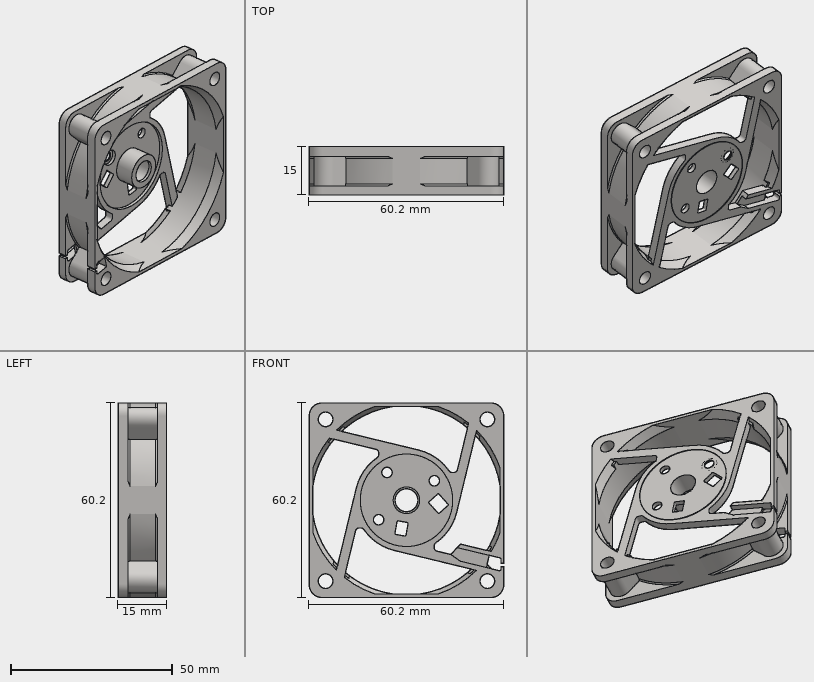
import cadquery as cq
import math


frame_size = 60.2
frame_depth = 15.0
corner_radius = 4.0
front_flange = 2.8
back_flange = 3.05
back_flange_start = frame_depth - back_flange
duct_flat_size = 57.9

throat_radius = 29.25
mouth_radius = 30.6
tube_outer_radius = 30.4
flare_depth = 3.1
outer_flare_length = 0.65
outer_flare_height = 0.25

corner_count = 4
mount_pitch = 50.0
mount_hole_diameter = 4.45
boss_radius = 3.64

hub_radius = 16.0
hub_depth = front_flange
label_radius = 14.3
label_recess = 0.2
disc_thickness = 1.5
bore_radius = 4.1
bore_lip_radius = 3.5
bore_lip_depth = 1.0
bearing_tube_radius = 5.5
bearing_tube_length = 8.0

screw_hole_diameter = 3.15
screw_hole_circle = 10.5
screw_hole_angles = (35, 125, 215)
thinned_hole_angle = 35
thinned_diameter = 5.0
thinned_thickness = 0.4
window_corner = 0.3
windows = (
    (8.85, 260, 4.2, 3.4, 260),
    (9.95, -6, 4.7, 4.1, -48),
)

strut_count = 4
strut_tilt = -13.6
strut_width = 2.95
strut_reach = 32.0
strut_inner = hub_radius - strut_width
crotch_flat = 8.64
crotch_fillet = 1.0
pad_margin = 1.4
pad_start = 1.3

rail_inner = 9.22
rail_width = 1.33
channel_width = 3.85
channel_depth = 1.9
channel_inner = rail_inner + rail_width
channel_outer = channel_inner + channel_width
channel_tip_t = 17.25
rail_start_t = 19.4
rail_end_t = 30.7
channel_start_t = 20.6
cable_hole_t = 28.9
cable_hole_wall = 0.9
cable_hole_fillet = 0.5
slot_centre_z = -19.98
slot_width = 1.0


def plane_at(y):
    """Workplane facing the struts, with local x = X and local y = Z."""
    return cq.Workplane("XZ", origin=(0, y, 0))


def turn(shape, angle):
    """Turn counterclockwise about the duct axis, as seen from the strut side."""
    return shape.rotate((0, 0, 0), (0, -1, 0), angle)


def disc(radius, start, end):
    return plane_at(start).circle(radius).extrude(start - end)


def square(size, start, end):
    return plane_at(start).rect(size, size).extrude(start - end)


def flared(throat, mouth, front, back, flare):
    """Round solid from front to back that widens from throat to mouth at both ends."""
    profile = [
        (0, front),
        (mouth, front),
        (throat, front + flare),
        (throat, back - flare),
        (mouth, back),
        (0, back),
    ]
    return cq.Workplane("XY").polyline(profile).close().revolve(360, (0, 0, 0), (0, 1, 0))


def strut_outline(points):
    """Strut coordinates (t, d) as local points of the untilted strut."""
    return [(t, -d) for t, d in points]


def strut_block(inner, outer, t_start, t_end, y_start, y_end):
    corners = [(t_start, inner), (t_end, inner), (t_end, outer), (t_start, outer)]
    return plane_at(y_start).polyline(strut_outline(corners)).close().extrude(y_start - y_end)


def make_frame():
    flanges = square(frame_size, 0, front_flange)
    flanges = flanges.union(square(frame_size, back_flange_start, frame_depth))
    flanges = flanges.edges("|Y").fillet(corner_radius)
    tube = flared(
        tube_outer_radius,
        tube_outer_radius + outer_flare_height,
        front_flange,
        back_flange_start,
        outer_flare_length,
    )
    tube = tube.intersect(square(frame_size, 0, frame_depth))
    frame = flanges.union(tube)

    boss_distance = mount_pitch / math.sqrt(2)
    web_length = boss_distance - throat_radius
    for corner in range(corner_count):
        boss = (
            plane_at(front_flange)
            .center(boss_distance, 0)
            .circle(boss_radius)
            .extrude(front_flange - back_flange_start)
        )
        web = (
            plane_at(front_flange)
            .center(boss_distance - web_length / 2, 0)
            .rect(web_length, 2 * boss_radius)
            .extrude(front_flange - back_flange_start)
        )
        frame = frame.union(turn(boss.union(web), (corner + 0.5) * 360 / corner_count))

    duct = flared(throat_radius, mouth_radius, 0, frame_depth, flare_depth)
    duct = duct.intersect(square(duct_flat_size, 0, frame_depth))
    mount_holes = (
        plane_at(0)
        .rect(mount_pitch, mount_pitch, forConstruction=True)
        .vertices()
        .circle(mount_hole_diameter / 2)
        .extrude(-frame_depth)
    )
    return frame.cut(duct).cut(mount_holes)


def make_crotch_fill():
    """Wedge closing the gap between the lower right strut and the hub, and the Z of its corners."""
    tilt = math.radians(strut_tilt)
    hub_z = -math.sqrt(hub_radius**2 - crotch_flat**2)
    strut_z = crotch_flat * math.tan(tilt) - strut_inner / math.cos(tilt)
    crotch_angle = tilt - math.asin(strut_inner / hub_radius)
    crotch = (hub_radius * math.cos(crotch_angle), hub_radius * math.sin(crotch_angle))
    outline = [crotch, (crotch_flat, hub_z), (crotch_flat, strut_z)]
    fill = plane_at(0).polyline(outline).close().extrude(-hub_depth)
    return fill, (strut_z, hub_z)


def make_spider():
    """Hub plate with the four struts, with rounded crotches between them."""
    fill, corner_heights = make_crotch_fill()
    strut = strut_block(strut_inner, hub_radius, 0, strut_reach, 0, hub_depth)
    arm = disc(hub_radius, 0, hub_depth).union(turn(strut, strut_tilt)).union(fill)
    for z in corner_heights:
        corner = cq.selectors.NearestToPointSelector((crotch_flat, hub_depth / 2, z))
        arm = arm.edges("|Y").edges(corner).fillet(crotch_fillet)
    spider = arm
    for k in range(1, strut_count):
        spider = spider.union(turn(arm, k * 360 / strut_count))
    return spider


def make_strut_pads():
    """Small ledges that fill the flare beside each strut end."""
    ring = disc(tube_outer_radius, pad_start, flare_depth)
    ring = ring.cut(disc(throat_radius, pad_start, flare_depth))
    pads = cq.Workplane("XZ")
    outer = hub_radius + pad_margin
    for k in range(strut_count):
        inner = (rail_inner if k == 0 else strut_inner) - pad_margin
        band = strut_block(inner, outer, 0, strut_reach, pad_start, flare_depth)
        pads = pads.add(turn(band, strut_tilt + k * 360 / strut_count).intersect(ring))
    return pads.combine()


def hollow_hub(body):
    """Thin the hub to a disc with a rim, add the bearing tube and cut the openings."""
    body = body.cut(disc(label_radius, 0, label_recess))
    body = body.cut(disc(label_radius, label_recess + disc_thickness, hub_depth))
    body = body.union(disc(bearing_tube_radius, label_recess, bearing_tube_length))
    body = body.cut(disc(bore_lip_radius, 0, bearing_tube_length))
    body = body.cut(disc(bore_radius, 0, bearing_tube_length - bore_lip_depth))

    for angle in screw_hole_angles:
        hole = plane_at(0).center(screw_hole_circle, 0).circle(screw_hole_diameter / 2)
        body = body.cut(turn(hole.extrude(-hub_depth), angle))

    thinning = (
        plane_at(label_recess + thinned_thickness)
        .center(screw_hole_circle, 0)
        .circle(thinned_diameter / 2)
        .extrude(-hub_depth)
    )
    body = body.cut(turn(thinning, thinned_hole_angle))

    for radius, angle, length, width, direction in windows:
        x = radius * math.cos(math.radians(angle))
        z = radius * math.sin(math.radians(angle))
        window = plane_at(0).rect(length, width).extrude(-hub_depth)
        window = window.edges("|Y").fillet(window_corner)
        body = body.cut(turn(window, direction).translate((x, 0, z)))
    return body


def add_cable_channel(body):
    """Widen the strut by a rail and sink the cable channel beside it."""
    rail = [
        (channel_tip_t, strut_inner),
        (rail_start_t, rail_inner),
        (rail_end_t, rail_inner),
        (rail_end_t, strut_inner),
    ]
    slant = (strut_inner - channel_inner) / (strut_inner - rail_inner)
    channel_mouth_t = channel_tip_t + slant * (rail_start_t - channel_tip_t)
    channel = [
        (channel_tip_t, strut_inner),
        (channel_mouth_t, channel_inner),
        (cable_hole_t, channel_inner),
        (cable_hole_t, channel_outer),
        (channel_start_t, channel_outer),
    ]
    rail_body = plane_at(0).polyline(strut_outline(rail)).close().extrude(-hub_depth)
    channel_cut = plane_at(0).polyline(strut_outline(channel)).close().extrude(-channel_depth)
    body = body.union(turn(rail_body, strut_tilt))
    return body.cut(turn(channel_cut, strut_tilt))


def cut_cable_exit(body):
    """Hole through both flanges behind a thin outer wall, with a slot to the outside."""
    inside = frame_size / 2 - cable_hole_wall
    limit = cq.Workplane("XY").box(inside, frame_depth, frame_size, centered=(False, False, True))
    hole = strut_block(channel_inner, channel_outer, cable_hole_t, frame_size, 0, frame_depth)
    hole = turn(hole, strut_tilt).intersect(limit)
    hole = hole.edges("|Y").edges(">X").fillet(cable_hole_fillet)
    slot = (
        plane_at(0)
        .center(inside, slot_centre_z)
        .rect(2 * cable_hole_wall + cable_hole_fillet, slot_width)
        .extrude(-frame_depth)
    )
    exit_cut = hole.union(slot)
    between = square(2 * frame_size, front_flange, back_flange_start)
    return body.cut(exit_cut.cut(between))


body = make_frame().union(make_spider()).union(make_strut_pads())
body = hollow_hub(body)
body = add_cable_channel(body)
result = cut_cable_exit(body)